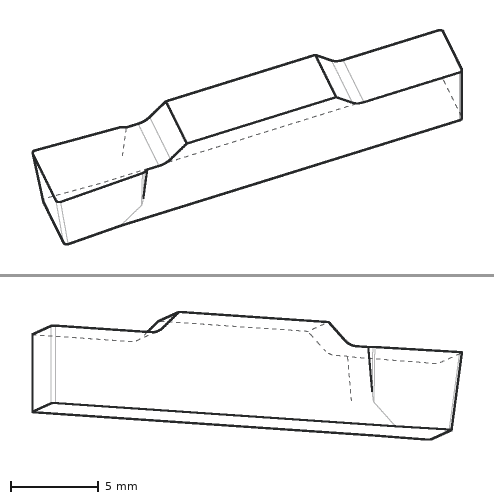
import cadquery as cq
import math

length = 25.05
total_height = 5.79
seat_height = 4.5
body_width = 3.275
edge_width = 4.0

ridge_front = 8.1
ridge_back = 17.27
ramp_angle = 45.0
ramp_foot_radius = 1.0
tail_radius = 0.2

shoulder_start = 5.38
shoulder_angle = 25.0
shoulder_radius = 0.3
front_relief = 7.0
side_relief = 2.5
back_taper = 2.5
nose_radius = 0.2

body_front = 2.0


def tan_deg(angle):
    return math.tan(math.radians(angle))


rounding_loss = nose_radius * (tan_deg(back_taper) + 1 / math.cos(math.radians(back_taper)) - 1)
sharp_edge_half = edge_width / 2 + rounding_loss


def make_body():
    """Straight bar with the ridge on top and rounded upright edges at the tail."""
    ramp_run = (total_height - seat_height) / tan_deg(ramp_angle)
    front_foot = ridge_front - ramp_run
    back_foot = ridge_back + ramp_run
    profile = [
        (body_front, 0),
        (length, 0),
        (length, seat_height),
        (back_foot, seat_height),
        (ridge_back, total_height),
        (ridge_front, total_height),
        (front_foot, seat_height),
        (body_front, seat_height),
    ]
    body = cq.Workplane("YZ").polyline(profile).close().extrude(body_width / 2, both=True)
    for foot in (front_foot, back_foot):
        foot_edge = cq.selectors.NearestToPointSelector((0, foot, seat_height))
        body = body.edges(foot_edge).fillet(ramp_foot_radius)
    return body.edges("|Z and >Y").fillet(tail_radius)


def head_corners(height):
    """Right-hand corners of the head's outline at a height: nose, shoulder and rear tip."""
    depth = seat_height - height
    front = depth * tan_deg(front_relief)
    edge_half = sharp_edge_half - depth * tan_deg(side_relief)
    nose_half = edge_half - front * tan_deg(back_taper)
    shoulder_half = edge_half - shoulder_start * tan_deg(back_taper)
    rear_tip = shoulder_start + shoulder_half / tan_deg(shoulder_angle)
    return (nose_half, front), (shoulder_half, shoulder_start), (0, rear_tip)


def head_outline(height):
    """Outline of the head, whose pointed rear ends inside the body."""
    nose, shoulder, tip = head_corners(height)
    points = [nose, shoulder, tip, (-shoulder[0], shoulder[1]), (-nose[0], nose[1])]
    corners = [cq.Vector(x, y, height) for x, y in points]
    return cq.Wire.makePolygon(corners, close=True)


def round_upright_edges(head, corner_index, radius):
    """Round the left and right edges that run from top to bottom at one kind of corner."""
    mid_height = seat_height / 2
    x, y = head_corners(mid_height)[corner_index]
    for side in (1, -1):
        upright = cq.selectors.NearestToPointSelector((side * x, y, mid_height))
        head = head.edges(upright).fillet(radius)
    return head


def make_head():
    """Cutting head with relieved front and flanks, and shoulders running out into the body."""
    outlines = [head_outline(0), head_outline(seat_height)]
    head = cq.Workplane(cq.Solid.makeLoft(outlines, True))
    head = round_upright_edges(head, 0, nose_radius)
    return round_upright_edges(head, 1, shoulder_radius)


result = make_body().union(make_head())